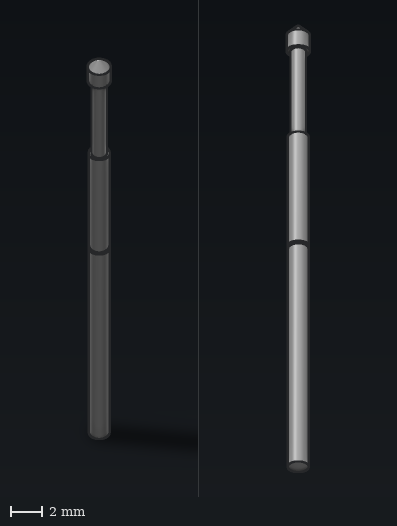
import cadquery as cq


head_diameter = 1.5
stem_diameter = 1.0
barrel_diameter = 1.36

total_height = 33.31
barrel_top = 24.91
joint_z = 16.62

cone_height = head_diameter / 2
head_length = 1.2
shoulder_z = total_height - cone_height
head_bottom = shoulder_z - head_length

groove_width = 0.2
groove_depth = 0.05

dome_height = 0.13

head_radius = head_diameter / 2
stem_radius = stem_diameter / 2
barrel_radius = barrel_diameter / 2
groove_radius = barrel_radius - groove_depth
dome_radius = (barrel_radius**2 + dome_height**2) / (2 * dome_height)


def revolve_about_z(outline):
    """Close a half outline along the Z axis and turn it into a solid."""
    return outline.close().revolve(360, (0, 0, 0), (0, 1, 0))


def make_plunger():
    """Thin stem standing on the barrel, with a wider pointed head."""
    outline = (
        cq.Workplane("XZ")
        .moveTo(0, barrel_top)
        .lineTo(stem_radius, barrel_top)
        .lineTo(stem_radius, head_bottom)
        .lineTo(head_radius, head_bottom)
        .lineTo(head_radius, shoulder_z)
        .lineTo(0, total_height)
    )
    return revolve_about_z(outline)


def make_upper_barrel():
    """Upper barrel half; its lower rim is the upper flank of the groove."""
    outline = (
        cq.Workplane("XZ")
        .moveTo(0, joint_z)
        .lineTo(groove_radius, joint_z)
        .lineTo(barrel_radius, joint_z + groove_width / 2)
        .lineTo(barrel_radius, barrel_top)
        .lineTo(0, barrel_top)
    )
    return revolve_about_z(outline)


def make_lower_barrel():
    """Lower barrel half with a domed tail; its upper rim is the lower flank of the groove."""
    outline = (
        cq.Workplane("XZ")
        .moveTo(0, 0)
        .radiusArc((barrel_radius, dome_height), -dome_radius)
        .lineTo(barrel_radius, joint_z - groove_width / 2)
        .lineTo(groove_radius, joint_z)
        .lineTo(0, joint_z)
    )
    return revolve_about_z(outline)


plunger = make_plunger()
upper_barrel = make_upper_barrel()
lower_barrel = make_lower_barrel()

result = cq.Compound.makeCompound([plunger.val(), upper_barrel.val(), lower_barrel.val()])